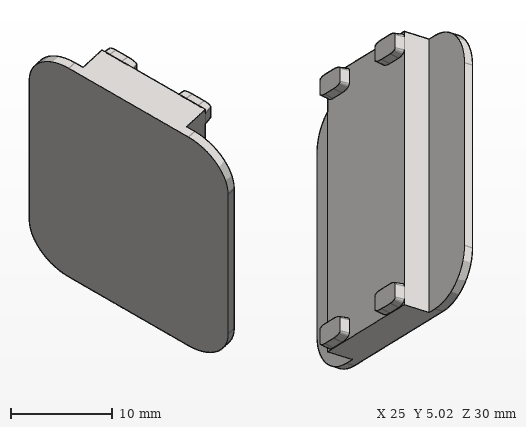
import cadquery as cq

plate_width = 25.0
plate_height = 30.0
plate_thickness = 1.0
plate_corner_radius = 4.98

block_width = 13.0
block_depth = 3.0

peg_length = 3.7
peg_height = 2.52
peg_depth = 1.02
peg_flat_length = 1.5
peg_flat_height = 1.45
peg_flat_shift = 0.15
peg_taper_x = 0.12
peg_taper_z = 0.18
peg_edge_gap = 0.05

block_rear = plate_thickness + block_depth
peg_center_x = (block_width - peg_length) / 2
peg_center_z = (plate_height - peg_height) / 2 - peg_edge_gap


def rear_plane(y, x=0, z=0):
    """Workplane facing +Y, with its local axes along +X and -Z."""
    return cq.Workplane(cq.Plane((x, y, z), xDir=(1, 0, 0), normal=(0, 1, 0)))


def peg_outline(plane, side, inset_x, inset_z):
    """Rectangle with elliptical corners; the insets shrink the corners and keep the flats."""
    half_length = peg_length / 2 - inset_x
    half_height = peg_height / 2 - inset_z
    shift = side * peg_flat_shift
    radius_right = half_length - peg_flat_length / 2 - shift
    radius_left = half_length - peg_flat_length / 2 + shift
    radius_z = half_height - peg_flat_height / 2
    outline = plane.moveTo(half_length, -peg_flat_height / 2)
    for start_angle, flat_x, flat_z, radius_x in (
        (0, 0, peg_flat_height, radius_right),
        (90, -peg_flat_length, 0, radius_left),
        (180, 0, -peg_flat_height, radius_left),
        (270, peg_flat_length, 0, radius_right),
    ):
        outline = outline.line(flat_x, flat_z)
        outline = outline.ellipseArc(radius_x, radius_z, start_angle, start_angle + 90)
    return outline.close().wire()


def make_peg(side, x, z):
    base = peg_outline(rear_plane(block_rear, x, z), side, 0, 0)
    tip = peg_outline(rear_plane(block_rear + peg_depth, x, z), side, peg_taper_x, peg_taper_z)
    return cq.Workplane(cq.Solid.makeLoft([base.val(), tip.val()], True))


plate = (
    rear_plane(0)
    .rect(plate_width, plate_height)
    .extrude(plate_thickness)
    .edges("|Y")
    .fillet(plate_corner_radius)
)
block = rear_plane(plate_thickness).rect(block_width, plate_height).extrude(block_depth)

result = plate.union(block)
for side_x in (-1, 1):
    for side_z in (-1, 1):
        result = result.union(make_peg(side_x, side_x * peg_center_x, side_z * peg_center_z))